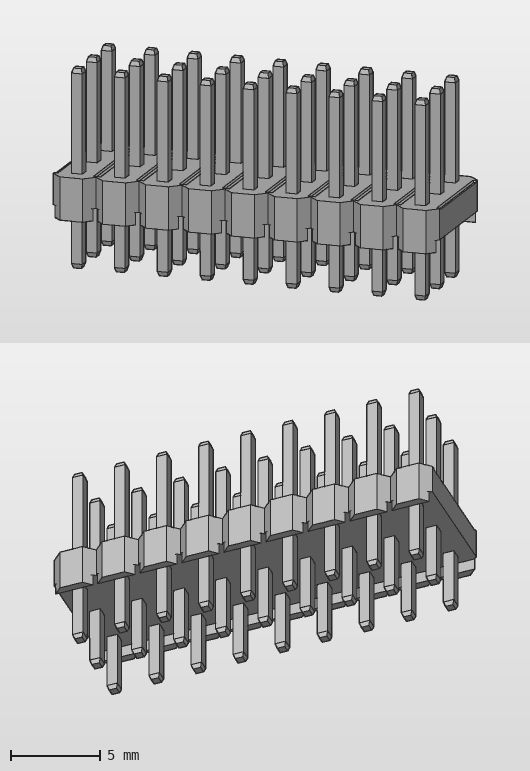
import cadquery as cq


columns = 9
rows = 3
length = 22.85
pitch = length / columns
width = rows * pitch

housing_height = 2.51
slab_height = 1.8
corner_cut = 0.6
foot_gap = 0.3
foot_depth = corner_cut - foot_gap / 2

groove_width = 0.41
groove_depth = 0.1
groove_end_margin = 0.75

pin_size = 0.65
pin_length = 11.6
pin_above_housing = 6.08
tip_height = 0.27
tip_size = 0.45

column_centers = [(i - (columns - 1) / 2) * pitch for i in range(columns)]
row_centers = [(j - (rows - 1) / 2) * pitch for j in range(rows)]
column_boundaries = [(i - columns / 2) * pitch for i in range(columns + 1)]


def housing_block():
    """Plate with a 45 degree V notch on both long sides at each column boundary."""
    half_flat = pitch / 2 - corner_cut
    front_y = -width / 2
    notch_y = front_y + corner_cut
    front_edge = [(-length / 2, notch_y)]
    for x in column_centers:
        front_edge.append((x - half_flat, front_y))
        front_edge.append((x + half_flat, front_y))
        front_edge.append((x + pitch / 2, notch_y))
    back_edge = [(x, -y) for x, y in reversed(front_edge)]
    outline = cq.Workplane("XY").polyline(front_edge + back_edge).close()
    return outline.extrude(-housing_height)


def underside_cuts():
    """Lengthwise channel and crosswise gaps that leave feet along both long sides."""
    cut_height = housing_height - slab_height
    bottom = cq.Workplane("XY").workplane(offset=-housing_height)
    channel = bottom.rect(length, width - 2 * foot_depth).extrude(cut_height)
    gap_centers = [(x, 0) for x in column_boundaries]
    gaps = bottom.pushPoints(gap_centers).rect(foot_gap, width).extrude(cut_height)
    return channel.union(gaps)


def top_groove(x):
    """Groove with walls and ends sloping inward at 45 degrees."""
    groove_length = width - 2 * groove_end_margin
    return (
        cq.Workplane("XY")
        .center(x, 0)
        .rect(groove_width, groove_length)
        .workplane(offset=-groove_depth)
        .rect(groove_width - 2 * groove_depth, groove_length - 2 * groove_depth)
        .loft(ruled=True)
    )


def pin(x, y):
    """Square pin with a tapered tip at each end."""
    inset = (pin_size - tip_size) / 2
    shank = (
        cq.Workplane("XY")
        .workplane(offset=pin_above_housing - pin_length)
        .center(x, y)
        .rect(pin_size, pin_size)
        .extrude(pin_length)
    )
    return shank.faces("<Z or >Z").chamfer(tip_height, inset)


housing = housing_block().cut(underside_cuts())
for boundary_x in column_boundaries:
    housing = housing.cut(top_groove(boundary_x))

result = housing
for pin_x in column_centers:
    for pin_y in row_centers:
        result = result.union(pin(pin_x, pin_y))